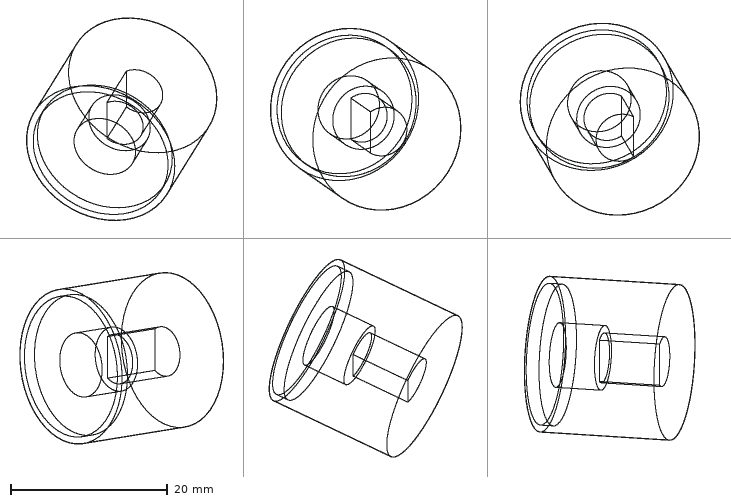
import cadquery as cq
import math

knob_diameter = 20.0
knob_length = 17.2

recess_diameter = 18.2
recess_depth = 1.7

bore_diameter = 8.3
bore_depth = 6.0

socket_diameter = 6.4
socket_flat_offset = 1.7
socket_depth = 8.0

front_y = -knob_length / 2
recess_floor_y = front_y + recess_depth
bore_floor_y = recess_floor_y + bore_depth


def plane_at(y):
    """Sketch plane at the given Y: local x is +X, local y is +Z, normal is -Y."""
    return cq.Workplane("XZ", origin=(0, y, 0))


def cylinder_from(y, diameter, length):
    """Cylinder on the knob axis, running from the given Y towards +Y."""
    return plane_at(y).circle(diameter / 2).extrude(-length)


def shaft_socket():
    """D-shaped prism: a round shaft outline cut by one flat facing -X."""
    radius = socket_diameter / 2
    half_flat = math.sqrt(radius**2 - socket_flat_offset**2)
    return (
        plane_at(bore_floor_y)
        .moveTo(-socket_flat_offset, -half_flat)
        .threePointArc((radius, 0), (-socket_flat_offset, half_flat))
        .close()
        .extrude(-socket_depth)
    )


body = cylinder_from(front_y, knob_diameter, knob_length)
recess = cylinder_from(front_y, recess_diameter, recess_depth)
bore = cylinder_from(recess_floor_y, bore_diameter, bore_depth)

result = body.cut(recess).cut(bore).cut(shaft_socket())